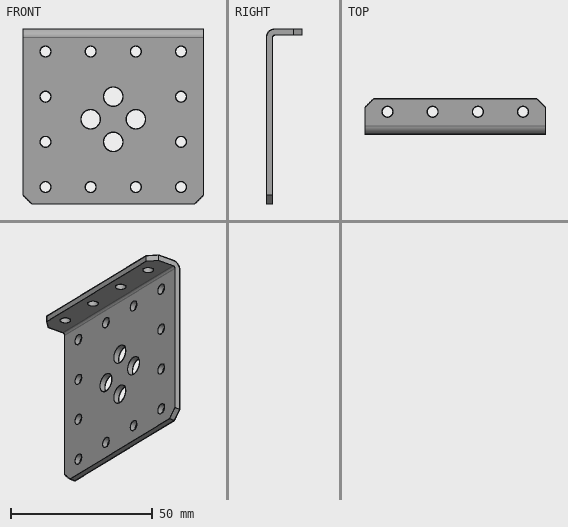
import cadquery as cq

width = 64.0
depth = 12.7
height = 62.0
thickness = 2.25
outer_bend_radius = 3.0
inner_bend_radius = outer_bend_radius - thickness
corner_chamfer = 3.15

pitch = 16.0
hole_columns = 4
small_hole_diameter = 3.8
large_hole_diameter = 6.8
hole_offset_from_bend = pitch / 2
column_positions = [(i - (hole_columns - 1) / 2) * pitch for i in range(hole_columns)]
grid_center_z = height - hole_offset_from_bend - (hole_columns - 1) / 2 * pitch


def bent_sheet():
    """L-shaped sheet: upright plate with its outer face at Y = 0, flange along +Y at the top."""
    profile = (
        cq.Workplane("YZ")
        .rect(depth, height, centered=False)
        .extrude(width / 2, both=True)
        .edges("|X and <Y and >Z")
        .fillet(outer_bend_radius)
    )
    inside = (
        cq.Workplane("YZ")
        .moveTo(thickness, 0)
        .rect(depth, height - thickness, centered=False)
        .extrude(width / 2, both=True)
        .edges("|X and <Y and >Z")
        .fillet(inner_bend_radius)
    )
    return profile.cut(inside)


def plate_holes(points, diameter):
    """Cutters along Y through the upright plate, placed by (X, Z)."""
    return cq.Workplane("XZ").pushPoints(points).circle(diameter / 2).extrude(-thickness)


def flange_holes():
    """Row of cutters along Z through the top flange."""
    points = [(x, hole_offset_from_bend) for x in column_positions]
    return (
        cq.Workplane("XY", origin=(0, 0, height))
        .pushPoints(points)
        .circle(small_hole_diameter / 2)
        .extrude(-thickness)
    )


outermost = max(column_positions)
ring_points = [
    (x, grid_center_z + z)
    for x in column_positions
    for z in column_positions
    if outermost in (abs(x), abs(z))
]

cross_arm = pitch / 2
cross_points = [
    (dx * cross_arm, grid_center_z + dz * cross_arm)
    for dx, dz in [(1, 0), (-1, 0), (0, 1), (0, -1)]
]

result = (
    bent_sheet()
    .faces("<Z").edges("|Y").chamfer(corner_chamfer)
    .faces(">Y").edges("|Z").chamfer(corner_chamfer)
    .cut(plate_holes(ring_points, small_hole_diameter))
    .cut(plate_holes(cross_points, large_hole_diameter))
    .cut(flange_holes())
)